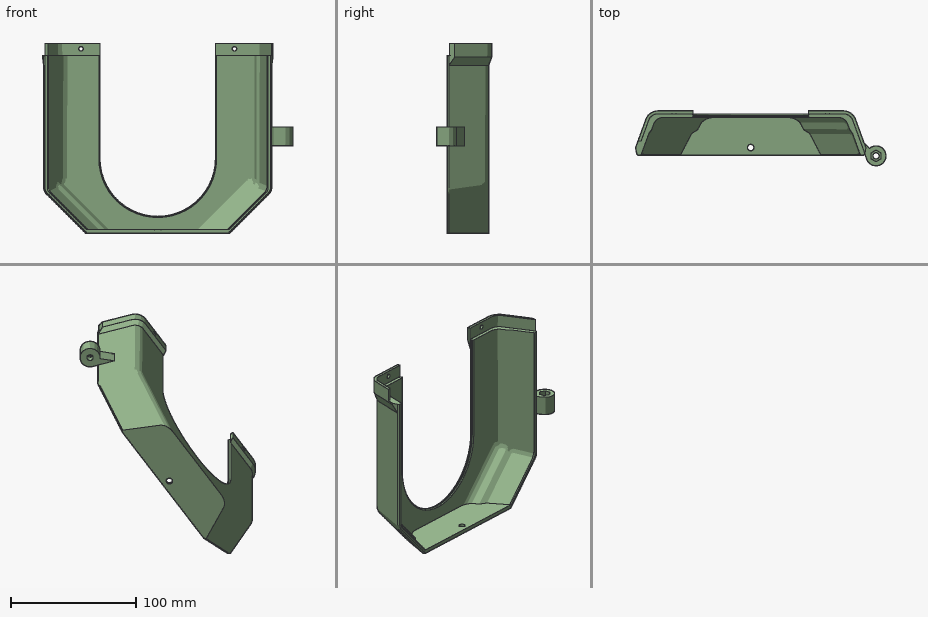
import cadquery as cq
import math

depth = 33.2
back_thickness = 3.0
floor_thickness = 3.0
body_height = 141.7
reach = 399.7

draft_angle = math.radians(20)
draft = math.tan(draft_angle)
leg_half_width = 91.5
floor_half_width = 58.2
corner_low = 20.0
corner_high = 60.0
edge_radius = 8.0
rim_bevel_depth = 1.4
rim_bevel_width = 1.0
leg_wall = 4.0
slope_wall = 3.5
rim_inner_chamfer = 0.8

step_front = 16.2
step_flat_front = 18.5
step_flat_back = 19.8
step_back = 21.0
leg_step_angle = math.radians(37)
slope_step_angle = math.radians(51)

opening_radius = 46.0
opening_center_z = 59.5
front_bevel_width = 1.0
front_bevel_depth = 0.8
rear_bevel_width = 0.8
rear_bevel_depth = 1.2

clip_thickness = 2.4
clip_top = 151.5
clip_taper_top = 140.5
clip_taper_bottom = 134.0
clip_side = 92.0
clip_side_front = 6.2
left_tongue_front = 11.5
right_tongue_front = 1.8

floor_hole_diameter = 5.0
floor_hole_y = 6.2
clip_hole_diameter = 3.4
clip_hole_x = 61.2
clip_hole_z = 147.0

barrel_x = 100.0
barrel_y = -0.4
barrel_radius = 8.0
barrel_bottom = 69.8
barrel_height = 15.2
barrel_hole_diameter = 4.8
nut_width = 8.0
nut_depth = 8.0
brace_end_y = 5.0
brace_offset = 100.3


def outer_wall(y):
    """Outer wall position at depth y, relative to the reference plane."""
    return -draft * y


def walled_block(leg_section, slope_section):
    """Block bounded by two legs and two 45 degree walls, from their horizontal wall sections."""
    right = leg_section.extrude(reach, both=True)
    right = right.intersect(slope_section.extrude(reach, both=True))
    return right.intersect(right.mirror("YZ"))


def outer_section(plane):
    rim = outer_wall(rim_bevel_depth)
    return (
        cq.Workplane(plane)
        .moveTo(-reach, 0)
        .lineTo(rim - rim_bevel_width, 0)
        .lineTo(rim, rim_bevel_depth)
        .lineTo(outer_wall(depth), depth)
        .lineTo(-reach, depth)
        .close()
    )


def inner_section(plane, wall, step_angle):
    ceiling = depth - back_thickness
    bend_slope = math.tan((draft_angle + step_angle) / 2)
    flat_slope = math.tan(step_angle)
    rim_x = outer_wall(rim_inner_chamfer) - wall
    front_x = outer_wall(step_front) - wall
    flat_front_x = front_x - bend_slope * (step_flat_front - step_front)
    flat_back_x = flat_front_x - flat_slope * (step_flat_back - step_flat_front)
    back_x = flat_back_x - bend_slope * (step_back - step_flat_back)
    return (
        cq.Workplane(plane)
        .moveTo(-reach, 0)
        .lineTo(rim_x + rim_inner_chamfer, 0)
        .lineTo(rim_x, rim_inner_chamfer)
        .lineTo(front_x, step_front)
        .tangentArcPoint((flat_front_x, step_flat_front), relative=False)
        .lineTo(flat_back_x, step_flat_back)
        .tangentArcPoint((back_x, step_back), relative=False)
        .lineTo(back_x - draft * (ceiling - step_back), ceiling)
        .lineTo(-reach, ceiling)
        .close()
    )


def slab(bottom, top):
    """Full-width horizontal slab."""
    return cq.Workplane("XY").workplane(offset=bottom).rect(reach, reach).extrude(top - bottom)


def rounded(block):
    """Round the corners between the walls, then the edge around the back face."""
    corners = cq.selectors.BoxSelector((-reach, -reach, corner_low), (reach, reach, corner_high))
    block = block.edges(corners).fillet(edge_radius)
    return block.faces(">Y").edges("not >Z").fillet(edge_radius)


def opening_section():
    """Half section of the opening, bevelled at both faces of the back plate."""
    ceiling = depth - back_thickness
    front_radius = opening_radius + front_bevel_width
    rear_radius = opening_radius + rear_bevel_width
    return (
        cq.Workplane("XY", origin=(0, 0, opening_center_z))
        .lineTo(front_radius, 0)
        .lineTo(front_radius, ceiling)
        .lineTo(opening_radius, ceiling + front_bevel_depth)
        .lineTo(opening_radius, depth - rear_bevel_depth)
        .lineTo(rear_radius, depth)
        .lineTo(rear_radius, reach)
        .lineTo(0, reach)
        .close()
    )


def opening():
    """U-shaped cutter: a straight slot above a round end."""
    slot = opening_section().extrude(reach)
    round_end = opening_section().revolve(360, (0, 0), (0, 1))
    return slot.union(slot.mirror("YZ")).union(round_end)


def shell():
    leg = cq.Plane(origin=(leg_half_width, 0, 0), xDir=(1, 0, 0), normal=(0, 0, 1))
    slope = cq.Plane(origin=(floor_half_width, 0, 0), xDir=(1, 0, -1), normal=(1, 0, 1))
    outer = walled_block(outer_section(leg), outer_section(slope))
    inner = walled_block(
        inner_section(leg, leg_wall, leg_step_angle),
        inner_section(slope, slope_wall, slope_step_angle),
    )
    outer = rounded(outer).intersect(slab(0, body_height))
    inner = rounded(inner).intersect(slab(floor_thickness, reach))
    return outer.cut(inner).cut(opening())


def leg_outline(offset, bottom):
    """Horizontal outline of the right leg's outer surface, moved outward by an offset."""
    back = depth + offset
    wall = leg_half_width + offset / math.cos(draft_angle)
    radius = edge_radius + offset
    corner_x = wall + outer_wall(back)
    setback = radius * math.tan((math.pi / 2 - draft_angle) / 2)
    wall_y = back - setback * math.cos(draft_angle)
    return (
        cq.Workplane("XY", origin=(0, 0, bottom))
        .moveTo(opening_radius, 0)
        .lineTo(wall, 0)
        .lineTo(wall + outer_wall(wall_y), wall_y)
        .tangentArcPoint((corner_x - setback, back), relative=False)
        .lineTo(opening_radius, back)
        .close()
    )


def clip(tongue_front):
    """Band around the top of the right leg, standing above it as a tongue."""
    upright = leg_outline(clip_thickness, clip_taper_top).extrude(clip_top - clip_taper_top)
    taper = cq.Workplane(
        cq.Solid.makeLoft(
            [
                leg_outline(0, clip_taper_bottom).wires().val(),
                leg_outline(clip_thickness, clip_taper_top).wires().val(),
            ],
            True,
        )
    )
    leg = leg_outline(0, clip_taper_bottom).extrude(reach)
    limit_y = rim_bevel_depth
    side_limit = (
        cq.Workplane("XY")
        .polyline([
            (0, limit_y),
            (leg_half_width + outer_wall(limit_y), limit_y),
            (clip_side, clip_side_front),
            (clip_side, reach),
            (0, reach),
        ])
        .close()
        .extrude(reach)
    )
    gap = (
        cq.Workplane("XY", origin=(0, 0, body_height))
        .box(reach, tongue_front, reach, centered=False)
    )
    hole = (
        cq.Workplane("XZ", origin=(clip_hole_x, 0, clip_hole_z))
        .circle(clip_hole_diameter / 2)
        .extrude(-reach)
    )
    return upright.union(taper).cut(leg).intersect(side_limit).cut(gap).cut(hole)


def barrel():
    """Hinge barrel with a nut pocket in its top, braced against the right leg."""
    base = cq.Workplane("XY", origin=(0, 0, barrel_bottom))
    tangent_x = barrel_x - barrel_radius * math.cos(draft_angle)
    tangent_y = barrel_y - barrel_radius * math.sin(draft_angle)
    brace_y = (brace_offset - leg_half_width) / (1 - draft)
    brace = (
        base
        .moveTo(leg_half_width + outer_wall(brace_y), brace_y)
        .lineTo(tangent_x, tangent_y)
        .lineTo(barrel_x, barrel_y)
        .lineTo(brace_offset - brace_end_y, brace_end_y)
        .close()
        .extrude(barrel_height)
    )
    cylinder = base.center(barrel_x, barrel_y).circle(barrel_radius).extrude(barrel_height)
    nut_pocket = (
        cq.Workplane("XY", origin=(barrel_x, barrel_y, barrel_bottom + barrel_height))
        .transformed(rotate=(0, 0, 90))
        .polygon(6, nut_width / math.cos(math.pi / 6))
        .extrude(-nut_depth)
    )
    bore = base.center(barrel_x, barrel_y).circle(barrel_hole_diameter / 2).extrude(barrel_height)
    return brace.union(cylinder).cut(nut_pocket).cut(bore)


floor_hole = (
    cq.Workplane("XY", origin=(0, floor_hole_y, 0))
    .circle(floor_hole_diameter / 2)
    .extrude(floor_thickness)
)

result = (
    shell()
    .cut(floor_hole)
    .union(clip(right_tongue_front))
    .union(clip(left_tongue_front).mirror("YZ"))
    .union(barrel())
)